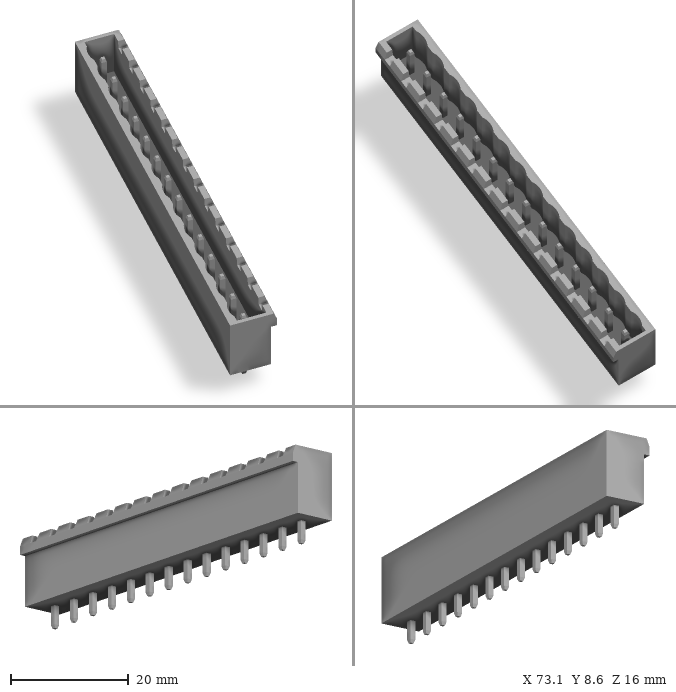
import cadquery as cq

pin_count = 14
pitch = 5.08
pin_size = 1.0
pin_tip_size = 0.6
pin_tip_length = 0.6
pin_tail_length = 4.0
pin_recess = 2.0

end_margin = 3.54
housing_length = (pin_count - 1) * pitch + 2 * end_margin
housing_height = 12.0
front_y = -3.8
back_y = 3.7
front_wall = 1.5
end_wall = 0.7
back_wall = 0.6
cavity_depth = 9.0
cavity_floor = housing_height - cavity_depth

lip_overhang = 1.1
lip_height = 3.0
lip_chamfer_width = 0.6
lip_chamfer_height = 1.5
lip_y = back_y + lip_overhang

notch_top_width = 2.0
notch_floor_width = 1.5
notch_depth = 1.5

scallop_width = 3.5
scallop_depth = 0.45

pin_positions = [(i - (pin_count - 1) / 2) * pitch for i in range(pin_count)]


def make_housing():
    """Solid block with the latching lip, extruded along X from its end profile."""
    profile = [
        (front_y, 0),
        (back_y, 0),
        (back_y, housing_height - lip_height),
        (lip_y, housing_height - lip_height),
        (lip_y, housing_height - lip_chamfer_height),
        (lip_y - lip_chamfer_width, housing_height),
        (front_y, housing_height),
    ]
    return cq.Workplane("YZ").polyline(profile).close().extrude(housing_length / 2, both=True)


def make_cavity():
    """Open-topped cavity whose front side carries the row of scallops."""
    half_length = housing_length / 2 - end_wall
    inner_front_y = front_y + front_wall
    inner_back_y = back_y - back_wall
    outline = (
        cq.Workplane("XY", origin=(0, 0, cavity_floor))
        .moveTo(-half_length, inner_back_y)
        .lineTo(-half_length, inner_front_y)
    )
    for x in pin_positions:
        outline = outline.lineTo(x - scallop_width / 2, inner_front_y).threePointArc(
            (x, inner_front_y - scallop_depth),
            (x + scallop_width / 2, inner_front_y),
        )
    outline = outline.lineTo(half_length, inner_front_y).lineTo(half_length, inner_back_y)
    return outline.close().extrude(cavity_depth)


def make_notch(x):
    """Tapered notch running from the cavity out through the lip."""
    notch_floor = housing_height - notch_depth
    profile = [
        (x - notch_top_width / 2, housing_height),
        (x - notch_floor_width / 2, notch_floor),
        (x + notch_floor_width / 2, notch_floor),
        (x + notch_top_width / 2, housing_height),
    ]
    plane = cq.Workplane("XZ", origin=(0, lip_y, 0))
    return plane.polyline(profile).close().extrude(lip_overhang + back_wall)


def make_pin_tip(x, z, direction):
    """Square taper at a pin end; direction is +1 for upward, -1 for downward."""
    return (
        cq.Workplane("XY", origin=(x, 0, z))
        .rect(pin_size, pin_size)
        .workplane(offset=direction * pin_tip_length)
        .rect(pin_tip_size, pin_tip_size)
        .loft()
    )


def make_pin(x):
    """Square pin through the housing floor, tapered at both ends."""
    shank_bottom = pin_tip_length - pin_tail_length
    shank_top = housing_height - pin_recess - pin_tip_length
    shank = (
        cq.Workplane("XY", origin=(x, 0, shank_bottom))
        .rect(pin_size, pin_size)
        .extrude(shank_top - shank_bottom)
    )
    lower_tip = make_pin_tip(x, shank_bottom, -1)
    upper_tip = make_pin_tip(x, shank_top, 1)
    return shank.union(lower_tip).union(upper_tip)


result = make_housing().cut(make_cavity())
for pin_x in pin_positions:
    result = result.cut(make_notch(pin_x)).union(make_pin(pin_x))